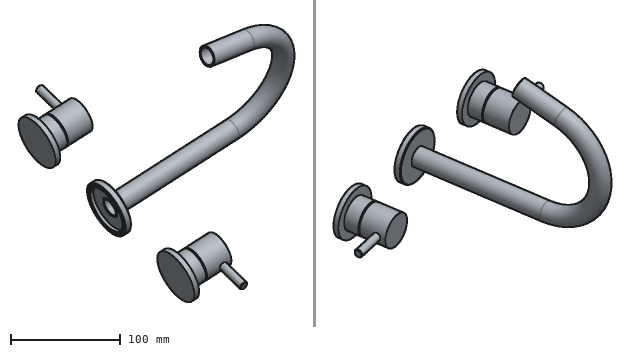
import cadquery as cq
import math

TUBE_OD = 20.6
TUBE_ID = 16.8
STRAIGHT_END_Y = 147.5
BEND_RADIUS = 60.2
OUTLET_ANGLE = 16.0
OUTLET_LENGTH = 47.8

FLANGE_DIAMETER = 56.3
FLANGE_THICKNESS = 6.8
FLANGE_CHAMFER = 1.0
FLANGE_BORE = 18.3
RECESS_DIAMETER = 46.0
RECESS_DEPTH = 3.5
SOCKET_LIP = 1.0
TUBE_START_Y = RECESS_DEPTH + SOCKET_LIP
GROOVE_OUTER_DIAMETER = 53.0
GROOVE_INNER_DIAMETER = 49.0
GROOVE_DEPTH = 1.8

HANDLE_SPACING = 200.0
PLATE_DIAMETER = 53.7
PLATE_THICKNESS = 5.5
HANDLE_DIAMETER = 35.5
HANDLE_LENGTH = 51.0
SEAM_Y = 21.8
SEAM_WIDTH = 1.2
SEAM_DEPTH = 0.3
LEVER_DIAMETER = 8.5
LEVER_Y = 41.3
LEVER_REACH = 147.5
LEVER_CHAMFER = 0.5


def cylinder_y(diameter, start_y, end_y):
    """Cylinder around the Y axis from start_y to end_y."""
    base = cq.Workplane("XZ", origin=(0, start_y, 0))
    return base.circle(diameter / 2).extrude(start_y - end_y)


def ring_y(outer_diameter, inner_diameter, start_y, end_y):
    """Ring around the Y axis from start_y to end_y."""
    return cylinder_y(outer_diameter, start_y, end_y).cut(cylinder_y(inner_diameter, start_y, end_y))


def make_spout():
    """Bent tube that stands in the socket of the flange."""
    slope = math.radians(OUTLET_ANGLE)

    def bend_point(angle):
        """Point (y, z) on the bend, with the angle measured from +Y around the bend centre."""
        return (
            STRAIGHT_END_Y + BEND_RADIUS * math.cos(angle),
            BEND_RADIUS + BEND_RADIUS * math.sin(angle),
        )

    bend_end = bend_point(math.pi / 2 - slope)
    outlet = (
        bend_end[0] - OUTLET_LENGTH * math.cos(slope),
        bend_end[1] + OUTLET_LENGTH * math.sin(slope),
    )
    path = (
        cq.Workplane("YZ")
        .moveTo(TUBE_START_Y, 0)
        .lineTo(STRAIGHT_END_Y, 0)
        .threePointArc(bend_point(0), bend_end)
        .lineTo(*outlet)
    )
    section = cq.Workplane("XZ", origin=(0, TUBE_START_Y, 0))
    return section.circle(TUBE_OD / 2).circle(TUBE_ID / 2).sweep(path)


def make_flange():
    """Round flange with a recessed, grooved front face, a chamfered back edge and a tube socket."""
    flange = cylinder_y(FLANGE_DIAMETER, 0, FLANGE_THICKNESS)
    flange = flange.faces(">Y").edges().chamfer(FLANGE_CHAMFER)
    recess = cylinder_y(RECESS_DIAMETER, 0, RECESS_DEPTH)
    groove = ring_y(GROOVE_OUTER_DIAMETER, GROOVE_INNER_DIAMETER, 0, GROOVE_DEPTH)
    bore = cylinder_y(FLANGE_BORE, 0, FLANGE_THICKNESS)
    socket = cylinder_y(TUBE_OD, TUBE_START_Y, FLANGE_THICKNESS)
    return flange.cut(recess).cut(groove).cut(bore).cut(socket)


def make_handle(side):
    """Handle with its plate and lever; side is -1 for left and 1 for right."""
    center_x = side * HANDLE_SPACING / 2
    plate = cylinder_y(PLATE_DIAMETER, 0, PLATE_THICKNESS)
    barrel = cylinder_y(HANDLE_DIAMETER, PLATE_THICKNESS, HANDLE_LENGTH)
    seam = ring_y(
        HANDLE_DIAMETER,
        HANDLE_DIAMETER - 2 * SEAM_DEPTH,
        SEAM_Y - SEAM_WIDTH / 2,
        SEAM_Y + SEAM_WIDTH / 2,
    )
    lever = (
        cq.Workplane("YZ")
        .center(LEVER_Y, 0)
        .circle(LEVER_DIAMETER / 2)
        .extrude(side * (LEVER_REACH - HANDLE_SPACING / 2))
    )
    tip = ">X" if side > 0 else "<X"
    lever = lever.faces(tip).edges().chamfer(LEVER_CHAMFER)
    return plate.union(barrel.cut(seam)).union(lever).translate((center_x, 0, 0))


spout = make_spout()
flange = make_flange()
handles = [make_handle(side) for side in (-1, 1)]

result = cq.Compound.makeCompound([spout.val(), flange.val(), *[handle.val() for handle in handles]])